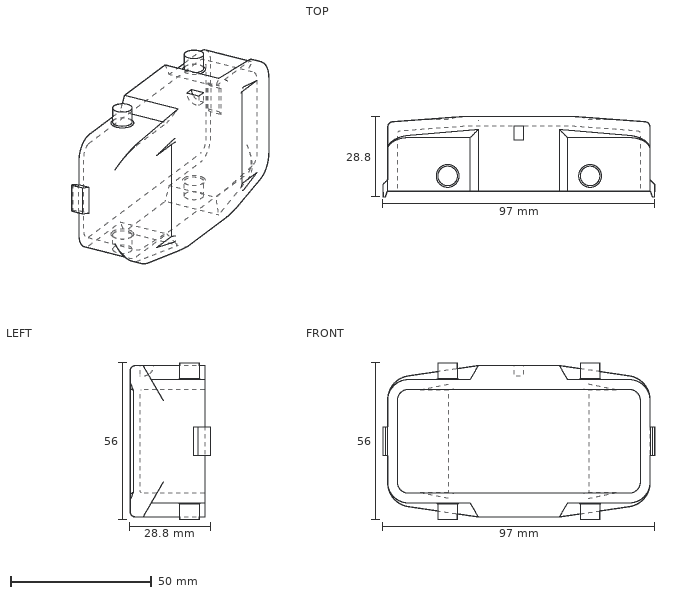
import cadquery as cq
import math

half_width = 46.9
depth = 26.8
rim_half_height = 22.0
rim_corner_radius = 7.5
block_half_height = 27.1
block_half_width = 14.5

cap_fall_angle = 8.4
cap_corner_radius = 8.7
back_fall_angle = 4.2
back_flat_half_width = 19.8
back_edge_radius = 2.0

flank_angle = 30.0
flank_run = (block_half_height - rim_half_height) * math.tan(math.radians(flank_angle))
cap_underside_outer_y = 22.1
cap_underside_center_y = cap_underside_outer_y - block_half_height * math.tan(math.radians(flank_angle))

dish_floor_y = 25.6
dish_inner_x = 25.05
dish_half_height = 18.3
dish_wall_angle = 20.0

wall = 3.5
floor_edge_radius = 1.2

peg_radius = 3.5
peg_collar_radius = 4.1
peg_collar_height = 0.4
peg_x = 25.4
peg_y = 5.5
peg_span = 56.0

tab_half_length = 5.1
tab_outer_x = 48.5
tab_tip_setback = 0.1
tab_tip_thickness = 0.8
tab_overhang = 2.0
tab_shoulder_y = 2.5
tab_root_y = 4.2
tab_inner_x = 47.0

pocket_width = 3.3
pocket_front_y = 18.35
pocket_back_y = 23.3
pocket_depth = 3.8


def prism_along_y(points, length):
    """Extrude an XZ outline from the rim plane towards the back."""
    return cq.Workplane("XZ").polyline(points).close().extrude(-length)


def rounded_box(half_x, half_z, length, corner_radius):
    """Block from the rim plane to the given depth, its four long edges rounded."""
    box = cq.Workplane("XZ").rect(2 * half_x, 2 * half_z).extrude(-length)
    return box.edges("|Y").fillet(corner_radius)


def back_limit(inset):
    """Everything in front of the back face moved inwards by an inset."""
    flat_y = depth - inset
    fall = (half_width - back_flat_half_width) * math.tan(math.radians(back_fall_angle))
    profile = [
        (-half_width, 0),
        (half_width, 0),
        (half_width, flat_y - fall),
        (back_flat_half_width, flat_y),
        (-back_flat_half_width, flat_y),
        (-half_width, flat_y - fall),
    ]
    return cq.Workplane("XY").polyline(profile).close().extrude(block_half_height, both=True)


def round_back_edge(body, radius):
    """Round the outer loop of the back face, leaving the two breaks across it sharp."""
    return body.edges("not (|Y or <Y or (|Z and >Y))").fillet(radius)


def make_envelope():
    """Full outer outline of the cap over the whole depth, back edge rounded."""
    end_z = block_half_height - (half_width - block_half_width) * math.tan(math.radians(cap_fall_angle))
    outline = [
        (half_width, -end_z),
        (half_width, end_z),
        (block_half_width, block_half_height),
        (-block_half_width, block_half_height),
        (-half_width, end_z),
        (-half_width, -end_z),
        (-block_half_width, -block_half_height),
        (block_half_width, -block_half_height),
    ]
    body = prism_along_y(outline, depth)
    body = body.edges("|Y and (<X or >X)").fillet(cap_corner_radius)
    body = body.intersect(back_limit(0))
    return round_back_edge(body, back_edge_radius)


def make_block():
    """Central block, widening from its outer faces down to the rim height."""
    base_half_width = block_half_width + flank_run
    outline = [
        (base_half_width, -rim_half_height),
        (base_half_width, rim_half_height),
        (block_half_width, block_half_height),
        (-block_half_width, block_half_height),
        (-base_half_width, rim_half_height),
        (-base_half_width, -rim_half_height),
        (-block_half_width, -block_half_height),
        (block_half_width, -block_half_height),
    ]
    return prism_along_y(outline, depth)


def make_cap_band():
    """Region behind the sloping cap undersides, over the full length of the part."""
    profile = [
        (depth, -block_half_height),
        (cap_underside_outer_y, -block_half_height),
        (cap_underside_center_y, 0),
        (cap_underside_outer_y, block_half_height),
        (depth, block_half_height),
    ]
    return cq.Workplane("YZ").polyline(profile).close().extrude(half_width, both=True)


def make_cavity():
    """Open pocket whose floor follows the back face, with a rounded floor edge."""
    cavity = rounded_box(half_width - wall, rim_half_height - wall, depth, rim_corner_radius - wall)
    cavity = cavity.intersect(back_limit(wall))
    return round_back_edge(cavity, floor_edge_radius)


def make_peg(x, side):
    """Round peg with a conical collar at its root; side is +1 (up) or -1 (down)."""
    root_z = rim_half_height - wall / 2
    profile = [
        (0, root_z),
        (peg_collar_radius, root_z),
        (peg_collar_radius, rim_half_height),
        (peg_radius, rim_half_height + peg_collar_height),
        (peg_radius, peg_span / 2),
        (0, peg_span / 2),
    ]
    peg = cq.Workplane("XZ").polyline(profile).close().revolve(360, (0, 0), (0, 1))
    if side < 0:
        peg = peg.mirror("XY")
    return peg.translate((x, peg_y, 0))


def make_tab():
    """Clip tab on the +X end wall, reaching past the rim."""
    root_x = half_width - wall / 2
    tip_x = tab_outer_x - tab_tip_setback
    profile = [
        (root_x, 0),
        (tab_inner_x, 0),
        (tip_x - tab_tip_thickness, -tab_overhang),
        (tip_x, -tab_overhang),
        (tab_outer_x, 0),
        (tab_outer_x, tab_shoulder_y),
        (half_width, tab_root_y),
        (root_x, tab_root_y),
    ]
    return cq.Workplane("XY").polyline(profile).close().extrude(tab_half_length, both=True)


def make_pocket():
    """Pocket sunk into the top of the block, its front wall curving down to the floor."""
    floor_z = block_half_height - pocket_depth
    sag = pocket_depth * math.sqrt(0.5)
    profile = (
        cq.Workplane("YZ")
        .moveTo(pocket_front_y, block_half_height)
        .threePointArc(
            (pocket_front_y + pocket_depth - sag, block_half_height - sag),
            (pocket_front_y + pocket_depth, floor_z),
        )
        .lineTo(pocket_back_y, floor_z)
        .lineTo(pocket_back_y, block_half_height)
        .close()
    )
    return profile.extrude(pocket_width / 2, both=True)


def make_dish():
    """Recess on the +X end of the back; its floor runs out into the sloping face."""
    run_out_x = back_flat_half_width + (depth - dish_floor_y) / math.tan(math.radians(back_fall_angle))
    floor = cq.Workplane("XZ", origin=((dish_inner_x + run_out_x) / 2, dish_floor_y, 0))
    floor = floor.rect(run_out_x - dish_inner_x, 2 * dish_half_height)
    return floor.extrude(dish_floor_y - depth, taper=dish_wall_angle - 90)


rim = rounded_box(half_width, rim_half_height, depth, rim_corner_radius)
shell = rim.union(make_block()).union(make_cap_band())
result = shell.intersect(make_envelope())

for peg_side in (1, -1):
    for x in (-peg_x, peg_x):
        result = result.union(make_peg(x, peg_side))

tab = make_tab()
result = result.union(tab).union(tab.mirror("YZ"))
dish = make_dish()
result = result.cut(dish).cut(dish.mirror("YZ"))
result = result.cut(make_cavity()).cut(make_pocket())